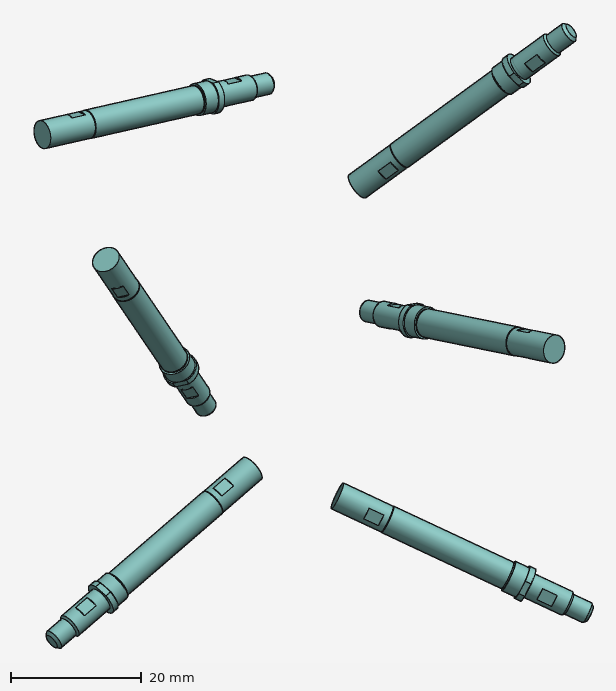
import cadquery as cq
length = 43.1
front_end = -length / 2
back_end = length / 2

front_diameter = 4.4
body_diameter = 4.5
relief_diameter = 4.4
collar_diameter = 5.0
flange_diameter = 5.47
neck_diameter = 3.95
journal_diameter = 4.0
tip_diameter = 3.35

front_length = 8.45
tip_length = 3.58
journal_length = 6.55
neck_length = 0.45
flange_width = 1.05
collar_length = 2.3
relief_length = 0.2

bevel_length = 0.15
tip_chamfer = 0.47
journal_chamfer_length = (journal_diameter - tip_diameter) / 2

wrench_flat_length = 2.5
front_flat_across = 3.95
front_flat_start = front_end + 4.95
journal_flat_across = 3.5
journal_flat_end = back_end - 6.08
flange_flat_across = collar_diameter

body_start = front_end + front_length
tip_start = back_end - tip_length
journal_start = tip_start - journal_length
flange_end = journal_start - neck_length
flange_start = flange_end - flange_width
collar_start = flange_start - collar_length
relief_start = collar_start - relief_length


def turned_section(start, end, start_diameter, end_diameter=None):
    """Round section between two places on Y; it tapers if two diameters are given."""
    end_diameter = end_diameter or start_diameter
    profile = [
        (0, start),
        (start_diameter / 2, start),
        (end_diameter / 2, end),
        (0, end),
    ]
    return cq.Workplane("XY").polyline(profile).close().revolve(360, (0, 0, 0), (0, 1, 0))


def cut_flats(body, start, end, across):
    """Remove the material above and below a pair of level flats."""
    clearance = flange_diameter
    for side in (1, -1):
        cutter = cq.Workplane("XY").box(2 * clearance, end - start, clearance).translate(
            (0, (start + end) / 2, side * (across + clearance) / 2)
        )
        body = body.cut(cutter)
    return body


flange = turned_section(flange_start, flange_end, flange_diameter)
flange = cut_flats(flange, flange_start, flange_end, flange_flat_across)

body_bevel_end = body_start + bevel_length
journal_bevel_end = journal_start + bevel_length
tip_chamfer_start = back_end - tip_chamfer
journal_chamfer_start = tip_start - journal_chamfer_length

sections = [
    turned_section(front_end, body_start, front_diameter),
    turned_section(body_start, body_bevel_end, front_diameter, body_diameter),
    turned_section(body_bevel_end, relief_start, body_diameter),
    turned_section(relief_start, collar_start, relief_diameter),
    turned_section(collar_start, flange_start, collar_diameter),
    turned_section(flange_end, journal_start, neck_diameter),
    turned_section(journal_start, journal_bevel_end, neck_diameter, journal_diameter),
    turned_section(journal_bevel_end, journal_chamfer_start, journal_diameter),
    turned_section(journal_chamfer_start, tip_start, journal_diameter, tip_diameter),
    turned_section(tip_start, tip_chamfer_start, tip_diameter),
    turned_section(tip_chamfer_start, back_end, tip_diameter, tip_diameter - 2 * tip_chamfer),
]

shaft = flange
for section in sections:
    shaft = shaft.union(section)

shaft = cut_flats(shaft, front_flat_start, front_flat_start + wrench_flat_length, front_flat_across)
shaft = cut_flats(shaft, journal_flat_end - wrench_flat_length, journal_flat_end, journal_flat_across)

result = shaft